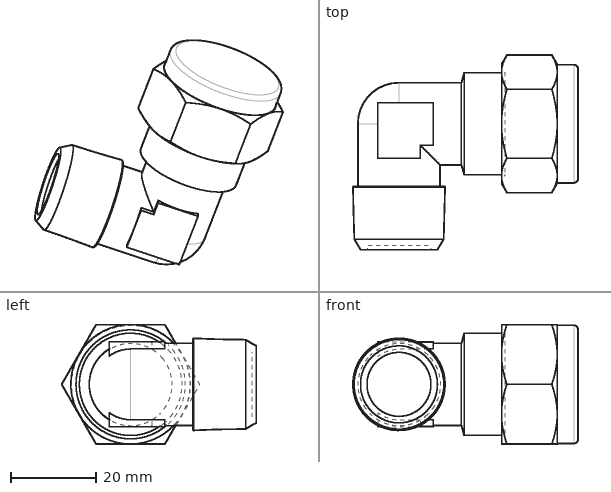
import cadquery as cq
import math

elbow_radius = 9.65

inlet_start = 14.6
inlet_edge = 0.25
inlet_taper_end = 27.0
inlet_end = 29.5
inlet_start_radius = 10.6
inlet_large_radius = 10.85
inlet_small_radius = 10.5
inlet_tip_radius = 9.05
recess_radius = 7.5
recess_depth = 1.05

collar_start = 14.65
collar_cone_length = 0.65
collar_radius = 12.0
countersink_radius = 12.8
countersink_depth = 0.8
nut_start = 24.05
nut_end = 37.1
nut_flats = 28.0
nut_chamfer_angle = 30
sleeve_radius = 13.9
sleeve_end = 42.0
sleeve_fillet = 1.05

pad_inner = 4.95
pad_outer = 8.1
pad_height = 9.95


def revolve_x(profile):
    """Revolve a closed (x, radius) profile about the X axis."""
    return cq.Workplane("XY").polyline(profile).close().revolve(360, (0, 0), (1, 0))


def make_elbow():
    run_x = cq.Workplane("YZ").circle(elbow_radius).extrude(nut_start)
    run_y = cq.Workplane("XZ").circle(elbow_radius).extrude(inlet_start)
    return run_x.union(run_y).union(cq.Workplane("XY").sphere(elbow_radius))


def make_inlet():
    profile = [
        (0, -inlet_start),
        (inlet_start_radius, -inlet_start),
        (inlet_large_radius, -inlet_start - inlet_edge),
        (inlet_small_radius, -inlet_taper_end),
        (inlet_tip_radius, -inlet_end),
        (0, -inlet_end),
    ]
    return cq.Workplane("XY").polyline(profile).close().revolve(360, (0, 0), (0, 1))


def make_recess():
    floor = cq.Workplane("XZ", origin=(0, recess_depth - inlet_end, 0))
    return floor.circle(recess_radius).extrude(recess_depth)


def make_collar():
    collar_end = nut_start + countersink_depth
    return revolve_x([
        (collar_start, 0),
        (collar_start, elbow_radius),
        (collar_start + collar_cone_length, collar_radius),
        (collar_end, collar_radius),
        (collar_end, 0),
    ])


def make_nut():
    """Hexagon with corners on +Y and -Y, with chamfered ends and a countersink around the collar."""
    flat_radius = nut_flats / 2
    corner_radius = flat_radius / math.cos(math.radians(30))
    hexagon = (
        cq.Workplane("YZ", origin=(nut_start, 0, 0))
        .polygon(6, 2 * corner_radius)
        .extrude(nut_end - nut_start)
    )
    cone_radius = 1.1 * corner_radius
    cone_length = (cone_radius - flat_radius) * math.tan(math.radians(nut_chamfer_angle))
    envelope = revolve_x([
        (nut_start, 0),
        (nut_start, flat_radius),
        (nut_start + cone_length, cone_radius),
        (nut_end - cone_length, cone_radius),
        (nut_end, flat_radius),
        (nut_end, 0),
    ])
    countersink = revolve_x([
        (nut_start, 0),
        (nut_start, countersink_radius),
        (nut_start + countersink_depth, collar_radius),
        (nut_start + countersink_depth, 0),
    ])
    return hexagon.intersect(envelope).cut(countersink)


def make_sleeve():
    return (
        cq.Workplane("YZ", origin=(nut_end, 0, 0))
        .circle(sleeve_radius)
        .extrude(sleeve_end - nut_end)
        .faces(">X")
        .edges()
        .fillet(sleeve_fillet)
    )


def make_pads():
    """One L-shaped block through the elbow forms both pads."""
    outline = [
        (-pad_inner, pad_inner),
        (pad_outer, pad_inner),
        (pad_outer, -pad_inner),
        (pad_inner, -pad_inner),
        (pad_inner, -pad_outer),
        (-pad_inner, -pad_outer),
    ]
    return cq.Workplane("XY").polyline(outline).close().extrude(pad_height, both=True)


result = (
    make_elbow()
    .union(make_pads())
    .union(make_inlet())
    .union(make_collar())
    .union(make_nut())
    .union(make_sleeve())
    .cut(make_recess())
)